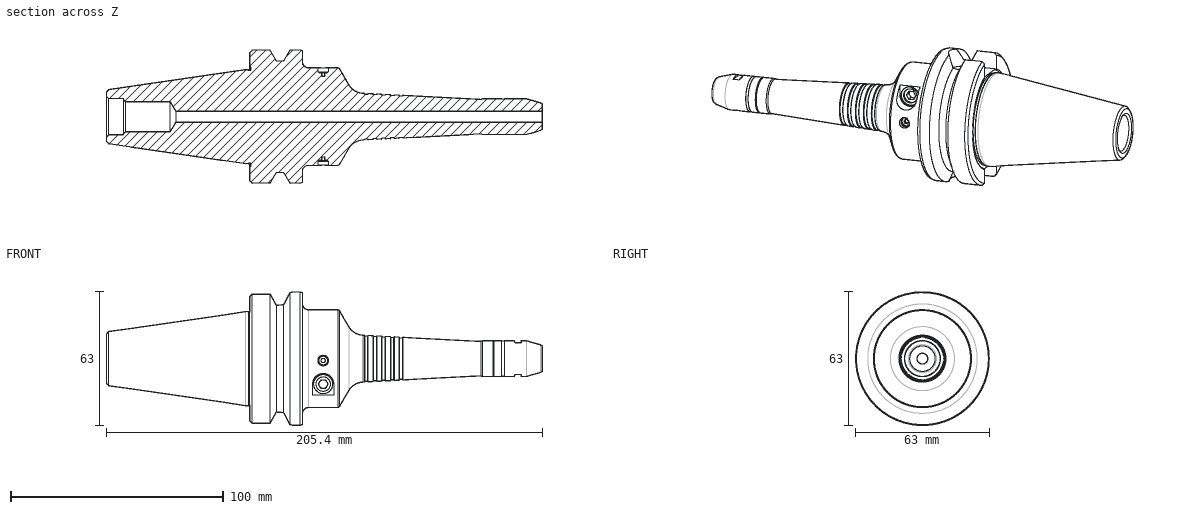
import cadquery as cq
import math


TAPER_LENGTH = 65.4
GAUGE_DIA = 44.45
TAPER_RATE = 7 / 24
TAPER_END_CHAMFER = 1.0
COLLAR_END_X = 1.4
RELIEF_DEPTH = 0.3
FLANGE_FACE_X = 2.0
FACE_RECESS_DIA = 47.8
FACE_RECESS_DEPTH = 0.5

FLANGE_DIA = 63.0
FLANGE_END_X = 27.0
FLANGE_CHAMFER = 1.2
FLANGE_END_CHAMFER_RISE = 0.4
GROOVE_DIA = 53.0
GROOVE_START_X = 14.6
GROOVE_END_X = 18.1
GROOVE_WALL_ANGLE = 30.0

SLOT_WIDTH = 16.1
SLOT_END_X = 22.6
SLOT_FLOOR_Z = 22.5

BODY_DIA = 46.2
BODY_FILLET = 2.7
BODY_END_X = 44.15
BODY_END_CHAMFER = 0.5
BODY_CONE_ANGLE = 60.0
NECK_FILLET = 8.0

NECK_ANGLE = 3.0
NECK_END_X = 111.0
NECK_END_RADIUS = 8.2
NECK_GROOVE_COUNT = 5
FIRST_NECK_GROOVE_X = 56.95
NECK_GROOVE_PITCH = 4.1
NECK_GROOVE_WIDTH = 1.9
NECK_GROOVE_FLOOR_WIDTH = 1.3
NECK_GROOVE_DEPTH = 0.35

NOSE_DIA = 17.0
NOSE_STEP_LENGTH = 0.7
NOSE_CONE_X = 132.4
NOSE_CONE_END_DIA = 13.2
NOSE_LENGTH = 140.0
NOSE_FACE_DIA = 12.0
NOSE_TIP_LENGTH = 1.0
MARK_GROOVES = ((116.7, 0.5), (120.8, 1.2))
MARK_GROOVE_DEPTH = 0.1

NOTCH_START_X = 127.1
NOTCH_END_X = 130.0
NOTCH_DEPTH = 0.95
NOTCH_WALL_ANGLE = 25.0

MOUTH_DIA = 19.0
PILOT_DIA = 17.0
PILOT_DEPTH = 8.0
THREAD_MOUTH_DIA = 16.0
THREAD_DIA = 14.0
THREAD_DEPTH = 30.0
DRILL_POINT_ANGLE = 118.0
COOLANT_DIA = 5.0

SCREW_X = 36.7
POCKET_WIDTH = 10.0
POCKET_Z = -12.0
POCKET_FLOOR_Y = -15.6
CLAMP_SEAT_DIA = 9.0
CLAMP_SEAT_DEPTH = 0.5
CLAMP_HOLE_DIA = 6.8
CLAMP_HOLE_DEPTH = 1.0
CLAMP_HEX = 4.0
CLAMP_HEX_DEPTH = 3.0
BLEED_Z = -0.9
BLEED_DIA = 5.0
BLEED_SCREW_DIA = 4.1
BLEED_SCREW_RECESS = 0.5
BLEED_DEPTH = 2.0
BLEED_HEX = 2.0
BLEED_HEX_DEPTH = 1.5


def turned(outline):
    """Solid of revolution about X of a closed outline drawn in the XY plane."""
    return outline.close().revolve(360, (0, 0, 0), (1, 0, 0))


def neck_radius(x):
    """Radius of the tapered neck at a place along X."""
    return NECK_END_RADIUS + (NECK_END_X - x) * math.tan(math.radians(NECK_ANGLE))


def neck_fillet_ends():
    """Tangent points of the fillet between the body cone and the tapered neck."""
    cone_angle = math.radians(BODY_CONE_ANGLE)
    neck_angle = math.radians(NECK_ANGLE)
    drop = BODY_DIA / 2 - neck_radius(BODY_END_X)
    corner_x = BODY_END_X + drop / (math.tan(cone_angle) - math.tan(neck_angle))
    corner_radius = neck_radius(corner_x)
    reach = NECK_FILLET * math.tan((cone_angle - neck_angle) / 2)
    cone_point = (corner_x - reach * math.cos(cone_angle), corner_radius + reach * math.sin(cone_angle))
    neck_point = (corner_x + reach * math.cos(neck_angle), corner_radius - reach * math.sin(neck_angle))
    return cone_point, neck_point


def body():
    """Turned outer shape, solid throughout."""
    gauge_radius = GAUGE_DIA / 2
    slope = TAPER_RATE / 2
    tail_x = -TAPER_LENGTH
    tail_radius = gauge_radius - TAPER_LENGTH * slope
    flange_radius = FLANGE_DIA / 2
    groove_radius = GROOVE_DIA / 2
    groove_run = (flange_radius - groove_radius) * math.tan(math.radians(GROOVE_WALL_ANGLE))
    body_radius = BODY_DIA / 2
    nose_radius = NOSE_DIA / 2
    relief_radius = gauge_radius - RELIEF_DEPTH
    recess_radius = FACE_RECESS_DIA / 2
    recess_floor_x = FLANGE_FACE_X + FACE_RECESS_DEPTH
    chamfer_run = BODY_END_CHAMFER * math.cos(math.radians(BODY_CONE_ANGLE))
    chamfer_drop = BODY_END_CHAMFER * math.sin(math.radians(BODY_CONE_ANGLE))
    cone_point, neck_point = neck_fillet_ends()
    outline = (
        cq.Workplane("XY")
        .moveTo(tail_x, 0)
        .lineTo(tail_x, tail_radius - TAPER_END_CHAMFER)
        .lineTo(tail_x + TAPER_END_CHAMFER, tail_radius + TAPER_END_CHAMFER * slope)
        .lineTo(0, gauge_radius)
        .lineTo(COLLAR_END_X, gauge_radius)
        .lineTo(COLLAR_END_X, relief_radius)
        .lineTo(recess_floor_x, relief_radius)
        .lineTo(recess_floor_x, recess_radius - FACE_RECESS_DEPTH)
        .lineTo(FLANGE_FACE_X, recess_radius)
        .lineTo(FLANGE_FACE_X, flange_radius - FLANGE_CHAMFER)
        .lineTo(FLANGE_FACE_X + FLANGE_CHAMFER, flange_radius)
        .lineTo(GROOVE_START_X - groove_run, flange_radius)
        .lineTo(GROOVE_START_X, groove_radius)
        .lineTo(GROOVE_END_X, groove_radius)
        .lineTo(GROOVE_END_X + groove_run, flange_radius)
        .lineTo(FLANGE_END_X - FLANGE_CHAMFER, flange_radius)
        .lineTo(FLANGE_END_X, flange_radius - FLANGE_END_CHAMFER_RISE)
        .lineTo(FLANGE_END_X, body_radius + BODY_FILLET)
        .radiusArc((FLANGE_END_X + BODY_FILLET, body_radius), -BODY_FILLET)
        .lineTo(BODY_END_X - BODY_END_CHAMFER, body_radius)
        .lineTo(BODY_END_X + chamfer_run, body_radius - chamfer_drop)
        .lineTo(*cone_point)
        .radiusArc(neck_point, -NECK_FILLET)
        .lineTo(NECK_END_X, NECK_END_RADIUS)
        .lineTo(NECK_END_X + NOSE_STEP_LENGTH, nose_radius)
        .lineTo(NOSE_CONE_X, nose_radius)
        .lineTo(NOSE_LENGTH - NOSE_TIP_LENGTH, NOSE_CONE_END_DIA / 2)
        .lineTo(NOSE_LENGTH, NOSE_FACE_DIA / 2)
        .lineTo(NOSE_LENGTH, 0)
    )
    return turned(outline)


def bores():
    """Stepped bore along X, from the threaded tail to the nose."""
    tail_x = -TAPER_LENGTH
    mouth_chamfer = (MOUTH_DIA - PILOT_DIA) / 2
    thread_chamfer = (THREAD_MOUTH_DIA - THREAD_DIA) / 2
    pilot_end_x = tail_x + PILOT_DEPTH
    thread_end_x = tail_x + THREAD_DEPTH
    point = (THREAD_DIA - COOLANT_DIA) / 2 / math.tan(math.radians(DRILL_POINT_ANGLE / 2))
    outline = (
        cq.Workplane("XY")
        .moveTo(tail_x, 0)
        .lineTo(tail_x, MOUTH_DIA / 2)
        .lineTo(tail_x + mouth_chamfer, PILOT_DIA / 2)
        .lineTo(pilot_end_x, PILOT_DIA / 2)
        .lineTo(pilot_end_x, THREAD_MOUTH_DIA / 2)
        .lineTo(pilot_end_x + thread_chamfer, THREAD_DIA / 2)
        .lineTo(thread_end_x, THREAD_DIA / 2)
        .lineTo(thread_end_x + point, COOLANT_DIA / 2)
        .lineTo(NOSE_LENGTH, COOLANT_DIA / 2)
        .lineTo(NOSE_LENGTH, 0)
    )
    return turned(outline)


def drive_slot():
    """Upper drive slot, open at the taper side with a round end."""
    slot_radius = SLOT_WIDTH / 2
    arc_x = SLOT_END_X - slot_radius
    outline = (
        cq.Workplane("XY", origin=(0, 0, SLOT_FLOOR_Z))
        .moveTo(0, -slot_radius)
        .lineTo(arc_x, -slot_radius)
        .threePointArc((SLOT_END_X, 0), (arc_x, slot_radius))
        .lineTo(0, slot_radius)
        .close()
    )
    return outline.extrude(FLANGE_DIA / 2)


def nose_notch():
    """Flat-floored slot across the top of the nose."""
    top = NOSE_DIA / 2
    floor = top - NOTCH_DEPTH
    lean = NOTCH_DEPTH * math.tan(math.radians(NOTCH_WALL_ANGLE))
    return (
        cq.Workplane("XZ")
        .moveTo(NOTCH_START_X, floor)
        .lineTo(NOTCH_END_X, floor)
        .lineTo(NOTCH_END_X, top)
        .lineTo(NOTCH_START_X - lean, top)
        .close()
        .extrude(NOSE_DIA / 2, both=True)
    )


def neck_groove(middle_x):
    """Ring of trapezoidal section sunk into the neck."""
    clearance = 1.0
    half_width = NECK_GROOVE_WIDTH / 2
    half_floor = NECK_GROOVE_FLOOR_WIDTH / 2
    start_x = middle_x - half_width
    end_x = middle_x + half_width
    floor = neck_radius(middle_x) - NECK_GROOVE_DEPTH
    outline = (
        cq.Workplane("XY")
        .moveTo(start_x, neck_radius(start_x) + clearance)
        .lineTo(start_x, neck_radius(start_x))
        .lineTo(middle_x - half_floor, floor)
        .lineTo(middle_x + half_floor, floor)
        .lineTo(end_x, neck_radius(end_x))
        .lineTo(end_x, neck_radius(end_x) + clearance)
    )
    return turned(outline)


def mark_groove(start_x, width):
    """Shallow ring sunk into the cylindrical nose."""
    floor = NOSE_DIA / 2 - MARK_GROOVE_DEPTH
    ring = cq.Workplane("YZ", origin=(start_x, 0, 0)).circle(NOSE_DIA).circle(floor)
    return ring.extrude(width)


def hex_socket(z, mouth_y, across_flats, depth):
    """Hexagon socket along +Y ending in a drill point."""
    corner_dia = across_flats / math.cos(math.radians(30))
    flat_radius = across_flats / 2
    point = flat_radius / math.tan(math.radians(DRILL_POINT_ANGLE / 2))
    plane = cq.Plane(origin=(SCREW_X, mouth_y, z), xDir=(1, 0, 0), normal=(0, 1, 0))
    socket = cq.Workplane(plane).polygon(6, corner_dia).extrude(depth)
    bottom = cq.Vector(SCREW_X, mouth_y + depth, z)
    cone = cq.Solid.makeCone(flat_radius, 0, point, bottom, cq.Vector(0, 1, 0))
    return socket.union(cq.Workplane(cone))


def round_hole(z, start_y, end_y, dia):
    """Round cut along Y at the screws' place along X."""
    plane = cq.Plane(origin=(SCREW_X, start_y, z), xDir=(1, 0, 0), normal=(0, 1, 0))
    return cq.Workplane(plane).circle(dia / 2).extrude(end_y - start_y)


def clamp_pocket():
    """Pocket, seat and socket of the clamping screw on the -Y side."""
    outer_y = -BODY_DIA / 2
    depth = POCKET_FLOOR_Y - outer_y
    pocket = round_hole(POCKET_Z, outer_y, POCKET_FLOOR_Y, POCKET_WIDTH)
    open_side = (
        cq.Workplane("XY", origin=(SCREW_X, outer_y + depth / 2, POCKET_Z))
        .rect(POCKET_WIDTH, depth)
        .extrude(-BODY_DIA / 2)
    )
    seat_y = POCKET_FLOOR_Y + CLAMP_SEAT_DEPTH
    seat = round_hole(POCKET_Z, POCKET_FLOOR_Y, seat_y, CLAMP_SEAT_DIA)
    hole_end_y = seat_y + CLAMP_HOLE_DEPTH
    hole = round_hole(POCKET_Z, seat_y, hole_end_y, CLAMP_HOLE_DIA)
    socket = hex_socket(POCKET_Z, hole_end_y, CLAMP_HEX, CLAMP_HEX_DEPTH)
    return pocket.union(open_side).union(seat).union(hole).union(socket)


def bleed_hole():
    """Hole and socket of the small screw on the -Y side."""
    outer_y = -BODY_DIA / 2
    hole_end_y = outer_y + BLEED_DEPTH
    hole = round_hole(BLEED_Z, outer_y, hole_end_y, BLEED_DIA)
    screw_y = hole_end_y + BLEED_SCREW_RECESS
    recess = round_hole(BLEED_Z, hole_end_y, screw_y, BLEED_SCREW_DIA)
    return hole.union(recess).union(hex_socket(BLEED_Z, screw_y, BLEED_HEX, BLEED_HEX_DEPTH))


def opposite(cut):
    """The same cut turned half a turn about X."""
    return cut.rotate((0, 0, 0), (1, 0, 0), 180)


result = body().cut(bores())
for index in range(NECK_GROOVE_COUNT):
    result = result.cut(neck_groove(FIRST_NECK_GROOVE_X + index * NECK_GROOVE_PITCH))
for start_x, width in MARK_GROOVES:
    result = result.cut(mark_groove(start_x, width))
for feature in (drive_slot(), nose_notch(), clamp_pocket(), bleed_hole()):
    result = result.cut(feature).cut(opposite(feature))